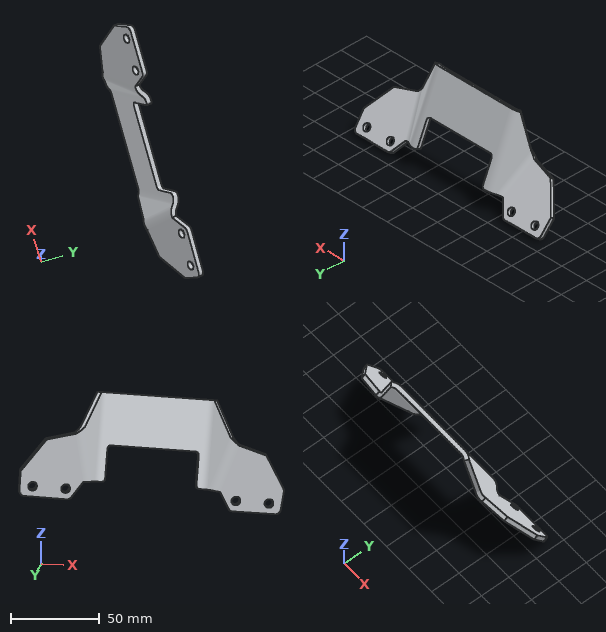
import cadquery as cq
import math


SHEET = 3.175
INSIDE_RADIUS = 6.0
OUTSIDE_RADIUS = INSIDE_RADIUS + SHEET
CENTRE_LEAN = math.radians(23.8)
FLANGE_ANGLE = math.radians(40.3)
WING_LEAN = math.radians(37.55)
BEND_STEPS = 4

CENTRE_HALF_WIDTH = 28.5
CENTRE_DEPTH = 50.6
NOTCH_HALF_WIDTH = 26.25
NOTCH_TOP_DEPTH = 29.7
NOTCH_CORNER_RADIUS = 2.0

FLANGE_REACH = 12.3
FLANGE_CORNER_DEPTH = 19.9

WING_ROOT_TOP = 2.4
WING_ROOT_BOTTOM = 31.2

WING_SHOULDER = (63.2, 6.9)
WING_TIP = (75.65, 26.1)
WING_BOTTOM_OUTER = (74.9, 40.7)
WING_BOTTOM_INNER = (46.0, 40.9)
WING_CORNER_RADIUS = 3.0

HOLE_DIAMETER = 5.0
HOLE_DISTANCES = (48.9, 67.9)
HOLE_DEPTH = 34.7


centre_across = cq.Vector(1, 0, 0)
centre_down = cq.Vector(0, math.sin(CENTRE_LEAN), -math.cos(CENTRE_LEAN))
centre_front = cq.Vector(0, -math.cos(CENTRE_LEAN), -math.sin(CENTRE_LEAN))
flange_across = centre_across * math.cos(FLANGE_ANGLE) + centre_front * math.sin(FLANGE_ANGLE)
flange_front = centre_front * math.cos(FLANGE_ANGLE) - centre_across * math.sin(FLANGE_ANGLE)
wing_across = centre_across
wing_down = cq.Vector(0, math.sin(WING_LEAN), -math.cos(WING_LEAN))
wing_front = cq.Vector(0, -math.cos(WING_LEAN), -math.sin(WING_LEAN))

wing_bend_line = wing_front.cross(flange_front).normalized()
wing_bend_angle = wing_front.getAngle(flange_front)

centre_bend_start = centre_across * CENTRE_HALF_WIDTH
flange_start = centre_bend_start + (centre_front - flange_front) * INSIDE_RADIUS
flange_corner = flange_start + flange_across * FLANGE_REACH + centre_down * FLANGE_CORNER_DEPTH
wing_bend_axis = flange_corner - flange_front * OUTSIDE_RADIUS
wing_start = wing_bend_axis + wing_front * OUTSIDE_RADIUS

flange_bend_run = (CENTRE_DEPTH - FLANGE_CORNER_DEPTH) / wing_bend_line.dot(centre_down)

centre_plane = cq.Plane(origin=(0, 0, 0), xDir=centre_across, normal=centre_front)
flange_plane = cq.Plane(origin=flange_start, xDir=flange_across, normal=flange_front)
wing_plane = cq.Plane(origin=(0, wing_start.y, wing_start.z), xDir=wing_across, normal=wing_front)


def plate(plane, outline):
    """Flat sheet behind its front-face plane."""
    return cq.Workplane(plane).polyline(outline).close().extrude(-SHEET)


def round_corners(sheet, plane, corners, radius):
    """Round the edges through the sheet at the given corners of its outline."""
    for across, up in corners:
        middle = plane.toWorldCoords((across, up, -SHEET / 2))
        sheet = sheet.edges(cq.selectors.NearestToPointSelector(middle.toTuple())).fillet(radius)
    return sheet


def make_centre_plate():
    notch_corners = []
    for side in (1, -1):
        notch_corners.append((side * NOTCH_HALF_WIDTH, -NOTCH_TOP_DEPTH))
        notch_corners.append((side * NOTCH_HALF_WIDTH, -CENTRE_DEPTH))
    right_top, right_bottom, left_top, left_bottom = notch_corners
    outline = [
        (-CENTRE_HALF_WIDTH, 0),
        (CENTRE_HALF_WIDTH, 0),
        (CENTRE_HALF_WIDTH, -CENTRE_DEPTH),
        right_bottom,
        right_top,
        left_top,
        left_bottom,
        (-CENTRE_HALF_WIDTH, -CENTRE_DEPTH),
    ]
    return round_corners(plate(centre_plane, outline), centre_plane, notch_corners, NOTCH_CORNER_RADIUS)


def make_centre_bend():
    """Strip rolled about the bend axis, from the centre plate's side edge to the flange."""
    edge = [(0, 0), (0, -CENTRE_DEPTH), (SHEET, -CENTRE_DEPTH), (SHEET, 0)]
    plane = cq.Plane(origin=centre_bend_start, xDir=-centre_front, normal=centre_across)
    strip = cq.Workplane(plane).polyline(edge).close()
    return strip.revolve(math.degrees(FLANGE_ANGLE), (-INSIDE_RADIUS, 0), (-INSIDE_RADIUS, -1))


def make_flange():
    bend_end = flange_plane.toLocalCoords(flange_corner + wing_bend_line * flange_bend_run)
    outline = [
        (0, 0),
        (FLANGE_REACH, -FLANGE_CORNER_DEPTH),
        (bend_end.x, bend_end.y),
        (0, -CENTRE_DEPTH),
    ]
    return plate(flange_plane, outline)


def wing_bend_section(turned):
    """Section through the wing bend after a share of its turn, from 0 at the flange to 1 at the wing."""
    to_flange = math.sin((1 - turned) * wing_bend_angle)
    to_wing = math.sin(turned * wing_bend_angle)
    outward = (flange_front * to_flange + wing_front * to_wing).normalized()
    top = wing_bend_line * (WING_ROOT_TOP * turned)
    bottom = wing_bend_line * (flange_bend_run + (WING_ROOT_BOTTOM - flange_bend_run) * turned)
    front = wing_bend_axis + outward * OUTSIDE_RADIUS
    back = wing_bend_axis + outward * INSIDE_RADIUS
    return cq.Wire.makePolygon([front + top, front + bottom, back + bottom, back + top], close=True)


def make_wing_bend():
    """Strip rolled about the bend line, whose ends run evenly from the flange's to the wing's."""
    sections = [wing_bend_section(step / BEND_STEPS) for step in range(BEND_STEPS + 1)]
    return cq.Workplane(cq.Solid.makeLoft(sections))


def make_wing():
    root_top = wing_plane.toLocalCoords(wing_start + wing_bend_line * WING_ROOT_TOP)
    root_bottom = wing_plane.toLocalCoords(wing_start + wing_bend_line * WING_ROOT_BOTTOM)
    shoulder, tip, bottom_outer, bottom_inner = (
        (distance, -depth)
        for distance, depth in (WING_SHOULDER, WING_TIP, WING_BOTTOM_OUTER, WING_BOTTOM_INNER)
    )
    outline = [
        (root_top.x, root_top.y),
        shoulder,
        tip,
        bottom_outer,
        bottom_inner,
        (root_bottom.x, root_bottom.y),
    ]
    sheet = plate(wing_plane, outline)
    sheet = round_corners(sheet, wing_plane, (bottom_outer, bottom_inner), WING_CORNER_RADIUS)
    hole_centres = [(distance, -HOLE_DEPTH) for distance in HOLE_DISTANCES]
    holes = cq.Workplane(wing_plane).pushPoints(hole_centres).circle(HOLE_DIAMETER / 2).extrude(-SHEET)
    return sheet.cut(holes)


right_side = make_centre_bend().union(make_flange()).union(make_wing_bend()).union(make_wing())
left_side = right_side.mirror("YZ")
result = make_centre_plate().union(right_side).union(left_side)